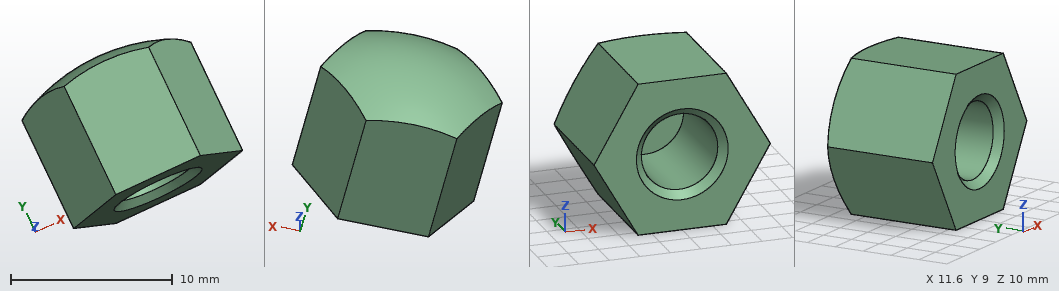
import cadquery as cq
import math

across_corners = 11.55
across_flats = across_corners * math.cos(math.radians(30))
length = 9.0
dome_radius = 1.2 * across_flats

bore_diameter = 5.0
countersink_diameter = 6.01
countersink_depth = (countersink_diameter - bore_diameter) / 2
bore_depth = 6.93

front_y = -length / 2
back_y = length / 2


def hexagonal_body():
    """Hexagonal prism with two corners on the X axis."""
    return (
        cq.Workplane("XZ", origin=(0, back_y, 0))
        .polygon(6, across_corners)
        .extrude(length)
    )


def dome():
    """Sphere that touches the back end and rounds off the hexagon there."""
    return cq.Workplane("XY").sphere(dome_radius).translate((0, back_y - dome_radius, 0))


def threaded_bore():
    """Blind round bore with a conical countersink at the open face."""
    bore_radius = bore_diameter / 2
    return (
        cq.Workplane("XY")
        .moveTo(0, front_y)
        .lineTo(countersink_diameter / 2, front_y)
        .lineTo(bore_radius, front_y + countersink_depth)
        .lineTo(bore_radius, front_y + bore_depth)
        .lineTo(0, front_y + bore_depth)
        .close()
        .revolve(360, (0, 0, 0), (0, 1, 0))
    )


result = hexagonal_body().intersect(dome()).cut(threaded_bore())